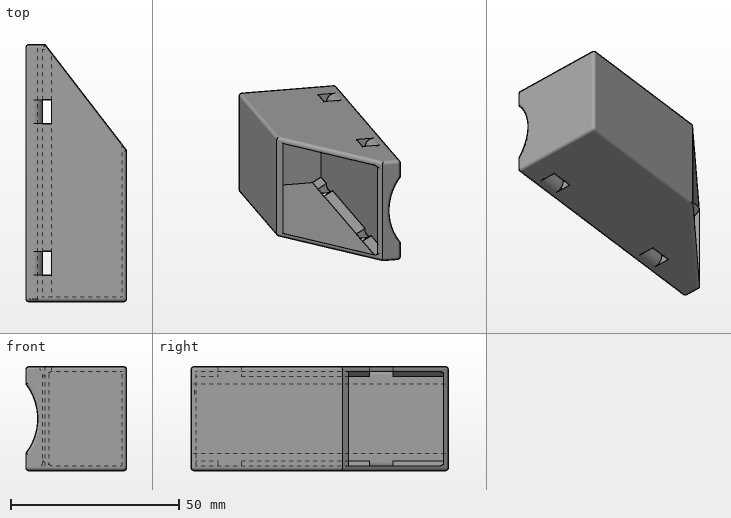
import cadquery as cq

width = 30.0
length = 76.5
height = 31.0
edge_radius = 1.0

tip_width = 5.7
slope_start = 45.0

groove_chord = 20.65
groove_depth = 3.5
groove_radius = ((groove_chord / 2) ** 2 + groove_depth ** 2) / (2 * groove_depth)

slot_wall_x = 7.6
slot_throat = 2.6
slot_flare_radius = 2.6
slot_length = 7.0
slot_centers_y = (11.5, 56.5)

wall = 1.45
cavity_chamfer_height = 1.5

throat_x = slot_wall_x - slot_throat


def make_body():
    """Block with a sloped corner, a groove and rounded outer edges."""
    block = (
        cq.Workplane("XY")
        .polyline([(0, 0), (width, 0), (width, slope_start), (tip_width, length), (0, length)])
        .close()
        .extrude(height)
    )
    margin = 0.8
    front_corners = cq.selectors.BoxSelector((-margin, -margin, 0), (width + margin, margin, height))
    back_corner = cq.selectors.BoxSelector((-margin, length - margin, 0), (margin, length + margin, height))
    square_corners = front_corners + back_corner
    block = block.cut(make_groove())
    corner_edges = block.edges("|Z").edges(square_corners)
    end_edges = block.faces("<Y or >Y").edges("not |Z")
    rim_edges = block.faces("<Z or >Z").edges()
    return block.newObject(corner_edges.add(end_edges).add(rim_edges).vals()).fillet(edge_radius)


def make_groove():
    """Cylinder along Y whose side dips into the -X face."""
    return (
        cq.Workplane("XZ")
        .center(groove_depth - groove_radius, height / 2)
        .circle(groove_radius)
        .extrude(-length)
    )


def make_slot(center_y):
    """Through slot whose -X wall curves outward at the top and bottom."""
    mouth_x = throat_x - slot_flare_radius
    bend = slot_flare_radius * (1 - 0.5 ** 0.5)
    return (
        cq.Workplane("XZ", origin=(0, center_y + slot_length / 2, 0))
        .moveTo(slot_wall_x, 0)
        .lineTo(slot_wall_x, height)
        .lineTo(mouth_x, height)
        .threePointArc((throat_x - bend, height - bend), (throat_x, height - slot_flare_radius))
        .lineTo(throat_x, slot_flare_radius)
        .threePointArc((throat_x - bend, bend), (mouth_x, 0))
        .close()
        .extrude(slot_length)
    )


def make_cavity():
    """Hollow with its two groove-side corners beveled, running out through the slope."""
    bottom = wall
    top = height - wall
    cavity_length = length - 2 * wall
    return (
        cq.Workplane("XZ", origin=(0, length - wall, 0))
        .polyline([
            (slot_wall_x, bottom),
            (width - wall, bottom),
            (width - wall, top),
            (slot_wall_x, top),
            (throat_x, top - cavity_chamfer_height),
            (throat_x, bottom + cavity_chamfer_height),
        ])
        .close()
        .extrude(cavity_length)
    )


result = make_body().cut(make_cavity())
for slot_center_y in slot_centers_y:
    result = result.cut(make_slot(slot_center_y))